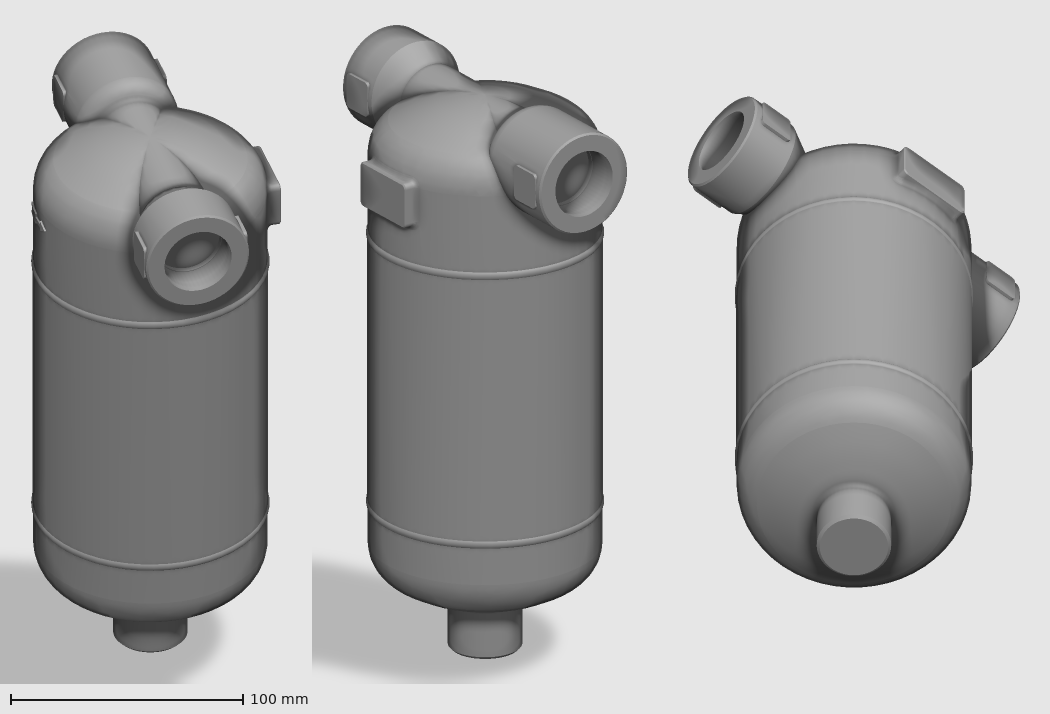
import cadquery as cq
import math

total_height = 263.0
port_length = 150.0

cap_radius = 50.5
shell_radius = 50.8
bead_radius = 51.3
bead_width = 3.5
lower_bead_z = 67.5
upper_bead_z = 192.5
lower_cap_z = 49.0
upper_cap_z = 229.5
knuckle_radius = 18.0

port_radius = 23.0
port_z = total_height - port_radius
pipe_radius = 16.5
end_chamfer = 0.8
socket_radius = 15.0
socket_depth = 15.3
bore_radius = 14.7
bore_depth = 18.0
inlet_shoulder_x = -37.5
inlet_neck_x = -27.4
inlet_round_share = 0.75
outlet_neck_x = 40.8
outlet_shoulder_x = 52.5

pad_size = 15.8
pad_corner = 1.8
pad_x = 63.5
pad_half_span = 23.1

nozzle_radius = 16.0
nozzle_chamfer = 1.3
nozzle_fillet = 2.5

plate_width = 34.2
plate_height = 20.5
plate_z = 222.0
plate_y = 53.7
plate_corner = 2.4
plate_edge = 0.5
plate_fillet = 2.4

arrow_z = 223.3
arrow_tail_x = -10.0
arrow_notch = 1.8
arrow_block_x = -0.3
arrow_head_x = 5.5
arrow_tip_x = 10.3
arrow_half_height = 2.5
arrow_shaft_half = 0.92
arrow_radius = 51.3

dish_height = port_z + pipe_radius - upper_cap_z
knuckle_center_r = cap_radius - knuckle_radius
crown_radius = (
    (dish_height ** 2 - knuckle_radius ** 2 + knuckle_center_r ** 2)
    / (2 * (dish_height - knuckle_radius))
)
crown_center_drop = crown_radius - dish_height
tangent_angle = math.atan2(crown_center_drop, knuckle_center_r)


def knuckle_point(angle):
    """Radius and rise above the dish start, at an angle along the knuckle."""
    return (
        knuckle_center_r + knuckle_radius * math.cos(angle),
        knuckle_radius * math.sin(angle),
    )


def crown_point(angle):
    """Radius and rise above the dish start, at an angle along the crown."""
    return (
        crown_radius * math.cos(angle),
        crown_radius * math.sin(angle) - crown_center_drop,
    )


def make_vessel():
    """Solid of revolution: drain nozzle, bottom dish, shell with weld beads, top dish."""
    knuckle_mid = knuckle_point(tangent_angle / 2)
    knuckle_end = knuckle_point(tangent_angle)
    crown_mid = crown_point((tangent_angle + math.pi / 2) / 2)
    apex = crown_point(math.pi / 2)

    def top(point):
        return (point[0], upper_cap_z + point[1])

    def bottom(point):
        return (point[0], lower_cap_z - point[1])

    fillet_center_r = nozzle_radius + nozzle_fillet
    fillet_angle = math.acos(fillet_center_r / (crown_radius + nozzle_fillet))
    fillet_end = bottom(crown_point(fillet_angle))
    fillet_center_z = (
        lower_cap_z + crown_center_drop - (crown_radius + nozzle_fillet) * math.sin(fillet_angle)
    )
    lower_crown_mid = bottom(crown_point((fillet_angle + tangent_angle) / 2))

    half_bead = bead_width / 2
    profile = (
        cq.Workplane("XZ")
        .lineTo(nozzle_radius - nozzle_chamfer, 0)
        .lineTo(nozzle_radius, nozzle_chamfer)
        .lineTo(nozzle_radius, fillet_center_z)
        .tangentArcPoint(fillet_end, relative=False)
        .threePointArc(lower_crown_mid, bottom(knuckle_end))
        .threePointArc(bottom(knuckle_mid), (cap_radius, lower_cap_z))
        .lineTo(cap_radius, lower_bead_z - half_bead)
        .threePointArc((bead_radius, lower_bead_z), (shell_radius, lower_bead_z + half_bead))
        .lineTo(shell_radius, upper_bead_z - half_bead)
        .threePointArc((bead_radius, upper_bead_z), (cap_radius, upper_bead_z + half_bead))
        .lineTo(cap_radius, upper_cap_z)
        .threePointArc(top(knuckle_mid), top(knuckle_end))
        .threePointArc(top(crown_mid), top(apex))
        .close()
    )
    return profile.revolve(360, (0, 0, 0), (0, 1, 0))


def make_ports():
    """Inlet collar, cross pipe and outlet collar turned about one X axis."""
    half = port_length / 2

    inlet_join = (
        inlet_shoulder_x + inlet_round_share * (inlet_neck_x - inlet_shoulder_x),
        port_radius + inlet_round_share * (pipe_radius - port_radius),
    )
    profile = (
        cq.Workplane("XY")
        .moveTo(-half, 0)
        .lineTo(-half, port_radius - end_chamfer)
        .lineTo(-half + end_chamfer, port_radius)
        .lineTo(inlet_shoulder_x, port_radius)
        .tangentArcPoint(inlet_join, relative=False)
        .tangentArcPoint((inlet_neck_x, pipe_radius), relative=False)
        .lineTo(outlet_neck_x, pipe_radius)
        .lineTo(outlet_shoulder_x, port_radius)
        .lineTo(half - end_chamfer, port_radius)
        .lineTo(half, port_radius - end_chamfer)
        .lineTo(half, 0)
        .close()
    )
    ports = profile.revolve(360, (0, 0, 0), (1, 0, 0))
    for x in (-pad_x, pad_x):
        pads = (
            cq.Workplane("XY")
            .box(pad_size, 2 * pad_half_span, pad_size)
            .edges("|Y")
            .fillet(pad_corner)
            .translate((x, 0, 0))
        )
        ports = ports.union(pads)
    return ports.translate((0, 0, port_z))


def make_bore(side):
    """Stepped blind bore entering the port end on one side (-1 or 1 along X)."""
    port_end = cq.Workplane("YZ", origin=(side * port_length / 2, 0, port_z))
    socket = port_end.circle(socket_radius).extrude(-side * socket_depth)
    inner = port_end.circle(bore_radius).extrude(-side * bore_depth)
    return socket.union(inner)


def make_plate():
    """Flat plate standing off the cap wall, with its back buried in the wall."""
    return (
        cq.Workplane("XY")
        .box(plate_width, plate_y - knuckle_center_r, plate_height)
        .edges("|Y")
        .fillet(plate_corner)
        .faces(">Y")
        .chamfer(plate_edge)
        .translate((0, (plate_y + knuckle_center_r) / 2, plate_z))
    )


def make_arrow():
    """Flow arrow pointing along +X, its face curved like the cap wall."""
    upper = [
        (arrow_tail_x, arrow_half_height),
        (arrow_block_x, arrow_half_height),
        (arrow_block_x, arrow_shaft_half),
        (arrow_head_x, arrow_shaft_half),
        (arrow_head_x, arrow_half_height),
    ]
    lower = [(x, -z) for x, z in reversed(upper)]
    outline = [(arrow_tail_x + arrow_notch, 0)] + upper + [(arrow_tip_x, 0)] + lower
    prism = (
        cq.Workplane("XZ", origin=(0, 0, arrow_z))
        .polyline(outline)
        .close()
        .extrude(2 * cap_radius)
    )
    face_cylinder = cq.Workplane("XY").circle(arrow_radius).extrude(total_height)
    return prism.intersect(face_cylinder)


vessel = make_vessel().union(make_plate())
plate_joint = cq.selectors.BoxSelector(
    (-plate_width, knuckle_center_r, plate_z - plate_height),
    (plate_width, cap_radius + plate_fillet, plate_z + plate_height),
    boundingbox=True,
)
result = (
    vessel.edges(plate_joint)
    .fillet(plate_fillet)
    .union(make_ports())
    .union(make_arrow())
    .cut(make_bore(-1))
    .cut(make_bore(1))
)